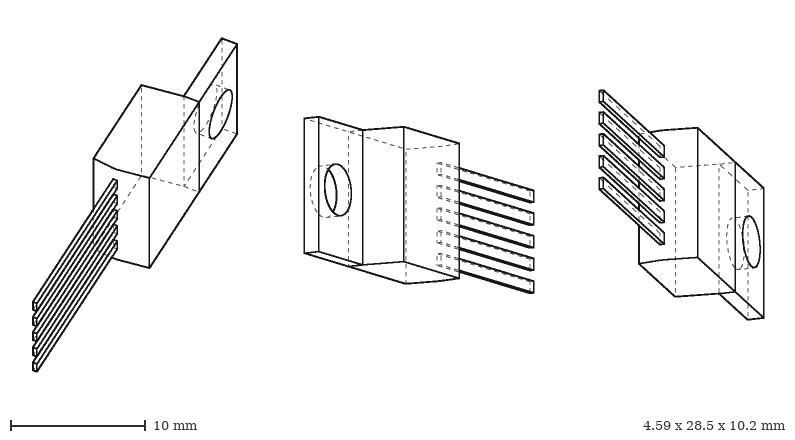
import cadquery as cq
import math

total_length = 28.48
thickness = 4.59
width = 10.17

tab_thickness = 1.28
tab_length = 6.35
hole_diameter = 3.85
hole_from_tab_end = 2.75

housing_length = 8.65
draft_angle = 7.0

lead_count = 5
lead_pitch = 1.7
lead_thickness = 0.35
lead_width = 0.88
lead_inset = 1.75

tab_start_y = total_length - tab_length
housing_front_y = tab_start_y - housing_length
tab_x = thickness - tab_thickness
lead_end_x = lead_inset + lead_thickness
draft_slope = math.tan(math.radians(draft_angle))


def make_housing():
    """Block with a drafted rear face and a front face drafted both ways from a flat band."""
    rear_left_y = tab_start_y - tab_x * draft_slope
    front_left_y = housing_front_y + lead_inset * draft_slope
    front_right_y = housing_front_y + (thickness - lead_end_x) * draft_slope
    outline = [
        (0, front_left_y),
        (lead_inset, housing_front_y),
        (lead_end_x, housing_front_y),
        (thickness, front_right_y),
        (thickness, tab_start_y),
        (tab_x, tab_start_y),
        (0, rear_left_y),
    ]
    return cq.Workplane("XY").polyline(outline).close().extrude(width / 2, both=True)


def make_tab():
    """Flat plate behind the housing with a mounting hole through its thickness."""
    plate = cq.Workplane("XY").box(
        tab_thickness, tab_length, width, centered=(False, False, True)
    ).translate((tab_x, tab_start_y, 0))
    hole_y = total_length - hole_from_tab_end
    hole = (
        cq.Workplane("YZ", origin=(tab_x, hole_y, 0))
        .circle(hole_diameter / 2)
        .extrude(tab_thickness)
    )
    return plate.cut(hole)


def make_lead(center_z):
    """Straight rectangular lead that ends at the flat band of the housing."""
    return cq.Workplane("XY").box(
        lead_thickness, housing_front_y, lead_width, centered=(False, False, True)
    ).translate((lead_inset, 0, center_z))


housing = make_housing()
tab = make_tab()

leads = []
for index in range(lead_count):
    lead_z = (index - (lead_count - 1) / 2) * lead_pitch
    leads.append(make_lead(lead_z).val())

result = cq.Compound.makeCompound([housing.val(), tab.val(), *leads])